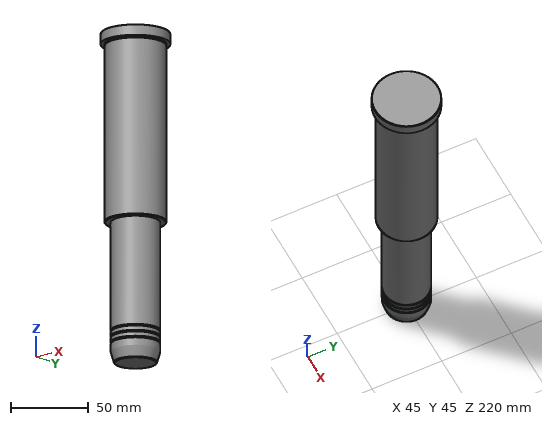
import cadquery as cq

total_length = 220.0
head_radius = 45.0 / 2
body_radius = 40.0 / 2
shank_radius = 32.1 / 2
tip_radius = 28.0 / 2

head_height = 7.0
head_edge_chamfer = 0.5
shoulder_z = 93.7
shoulder_chamfer = 0.7

relief_width = 1.3
relief_depth = 0.5

lead_in_height = 7.7
lead_in_bulge = 0.1
tip_chamfer = 0.7

groove_count = 3
groove_pitch = 4.0
groove_width = 1.3
groove_depth = 0.33
lowest_groove_z = 13.2


def cylinder(radius, bottom, top):
    """Solid disc about the Z axis between two heights."""
    return cq.Workplane("XY").workplane(offset=bottom).circle(radius).extrude(top - bottom)


def vee_groove(surface_radius, depth, middle_z, width):
    """Ring that cuts a groove of V section into a cylinder."""
    return (
        cq.Workplane("XZ")
        .moveTo(surface_radius, middle_z - width / 2)
        .lineTo(surface_radius - depth, middle_z)
        .lineTo(surface_radius, middle_z + width / 2)
        .close()
        .revolve(360, (0, 0, 0), (0, 1, 0))
    )


def lead_in():
    """Revolved nose with a gently bulging flank and a chamfered end."""
    middle_radius = (tip_radius + shank_radius) / 2 + lead_in_bulge
    middle_z = (tip_chamfer + lead_in_height) / 2
    return (
        cq.Workplane("XZ")
        .lineTo(tip_radius - tip_chamfer, 0)
        .lineTo(tip_radius, tip_chamfer)
        .threePointArc((middle_radius, middle_z), (shank_radius, lead_in_height))
        .lineTo(0, lead_in_height)
        .close()
        .revolve(360, (0, 0, 0), (0, 1, 0))
    )


head_bottom = total_length - head_height
head = cylinder(head_radius, head_bottom, total_length).faces(">Z").chamfer(head_edge_chamfer)
body = cylinder(body_radius, shoulder_z, head_bottom).faces("<Z").chamfer(shoulder_chamfer)
shank = cylinder(shank_radius, lead_in_height, shoulder_z)

result = lead_in().union(shank).union(body).union(head)
result = result.cut(vee_groove(body_radius, relief_depth, head_bottom - relief_width / 2, relief_width))
for index in range(groove_count):
    groove_z = lowest_groove_z + index * groove_pitch
    result = result.cut(vee_groove(shank_radius, groove_depth, groove_z, groove_width))